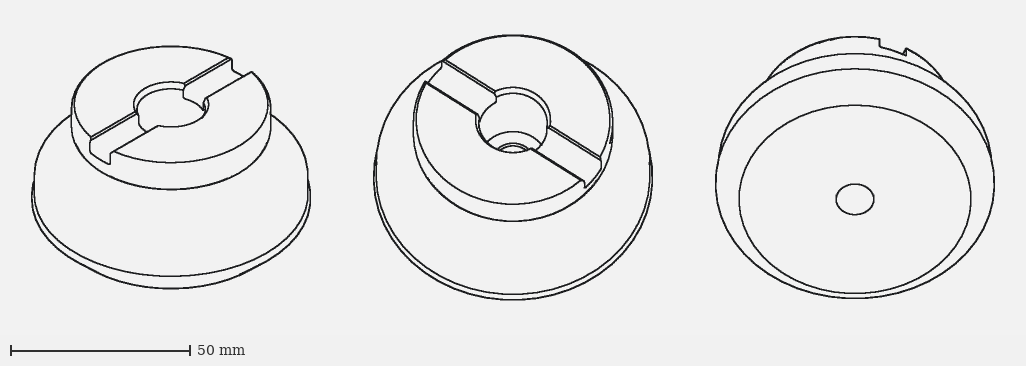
import cadquery as cq
import math

height = 40.0
rim_radius = 38.9
body_radius = 76.4 / 2
head_radius = 55.6 / 2

base_radius = 32.4
base_slope = math.radians(45)
rim_top = 8.7
rim_upper_round = 0.6
rim_lower_round = 1.2

shoulder_start = 15.0
shoulder_round = 4.8
cone_angle = math.radians(25)

neck_radius = 24.8
neck_round = 4.1
head_bottom = 32.3
head_edge_width = 0.8
head_edge_height = 1.4

bore_radius = 19.05 / 2
bore_depth = 23.35
bore_edge_width = 0.9
bore_edge_height = 1.7
hole_radius = 10.5 / 2
hole_chamfer = 0.55

slot_width = 8.1
slot_depth = 4.6
slot_floor_round = 0.6
slot_edge_chamfer = 0.55


def arc_point(center, radius, angle):
    """Point on a circle in the radius-height plane."""
    return center[0] + radius * math.cos(angle), center[1] + radius * math.sin(angle)


def make_body():
    """Revolve the outer outline around Z."""
    normal_angle = math.pi / 2 - cone_angle
    shoulder_center = (body_radius - shoulder_round, shoulder_start)
    shoulder_end = arc_point(shoulder_center, shoulder_round, normal_angle)

    neck_start_radius = neck_radius + neck_round * (1 - math.cos(normal_angle))
    cone_rise = (shoulder_end[0] - neck_start_radius) * math.tan(cone_angle)
    neck_start = (neck_start_radius, shoulder_end[1] + cone_rise)
    neck_half_height = neck_round * math.sin(normal_angle)
    waist_height = neck_start[1] + neck_half_height
    neck_end = (neck_start_radius, waist_height + neck_half_height)

    head_round_width = head_radius - neck_end[0]
    head_round_height = head_bottom - neck_end[1]
    head_round = (head_round_width**2 + head_round_height**2) / (2 * head_round_width)
    head_round_half_angle = math.atan2(head_round_width, head_round_height)
    head_round_center = (head_radius - head_round, head_bottom)
    head_round_middle = arc_point(head_round_center, head_round, -head_round_half_angle)

    rim_cone_radius = rim_radius - rim_lower_round * (1 - math.cos(base_slope))
    rim_bottom = (rim_cone_radius - base_radius) * math.tan(base_slope)
    rim_side_bottom = rim_bottom + rim_lower_round * math.sin(base_slope)
    outline = (
        cq.Workplane("XZ")
        .lineTo(base_radius, 0)
        .lineTo(rim_cone_radius, rim_bottom)
        .tangentArcPoint((rim_radius, rim_side_bottom), relative=False)
        .lineTo(rim_radius, rim_top - rim_upper_round)
        .tangentArcPoint((rim_radius - rim_upper_round, rim_top), relative=False)
        .lineTo(body_radius, rim_top)
        .lineTo(body_radius, shoulder_start)
        .threePointArc(arc_point(shoulder_center, shoulder_round, normal_angle / 2), shoulder_end)
        .lineTo(*neck_start)
        .threePointArc((neck_radius, waist_height), neck_end)
        .threePointArc(head_round_middle, (head_radius, head_bottom))
        .lineTo(head_radius, height - head_edge_height)
        .tangentArcPoint((head_radius - head_edge_width, height), relative=False)
        .lineTo(0, height)
        .close()
    )
    return outline.revolve(360, (0, 0, 0), (0, 1, 0))


def make_center_hole():
    """Wide bore with a beveled mouth above a smaller through hole."""
    floor = height - bore_depth
    return (
        cq.Workplane("XZ")
        .lineTo(hole_radius, 0)
        .lineTo(hole_radius, floor - hole_chamfer)
        .lineTo(hole_radius + hole_chamfer, floor)
        .lineTo(bore_radius, floor)
        .lineTo(bore_radius, height - bore_edge_height)
        .lineTo(bore_radius + bore_edge_width, height)
        .lineTo(0, height)
        .close()
        .revolve(360, (0, 0, 0), (0, 1, 0))
    )


def make_slot():
    """Slot along Y with rounded floor corners and beveled top edges."""
    length = 2 * rim_radius
    floor = height - slot_depth
    channel = (
        cq.Workplane("XY", origin=(0, 0, floor))
        .box(slot_width, length, slot_depth, centered=(True, True, False))
        .edges("|Y and <Z")
        .fillet(slot_floor_round)
    )
    half_width = slot_width / 2
    bevel = (
        cq.Workplane("XZ", origin=(0, length / 2, 0))
        .moveTo(-half_width - slot_edge_chamfer, height)
        .lineTo(half_width + slot_edge_chamfer, height)
        .lineTo(half_width, height - slot_edge_chamfer)
        .lineTo(-half_width, height - slot_edge_chamfer)
        .close()
        .extrude(length)
    )
    return channel.union(bevel)


result = make_body().cut(make_center_hole()).cut(make_slot())